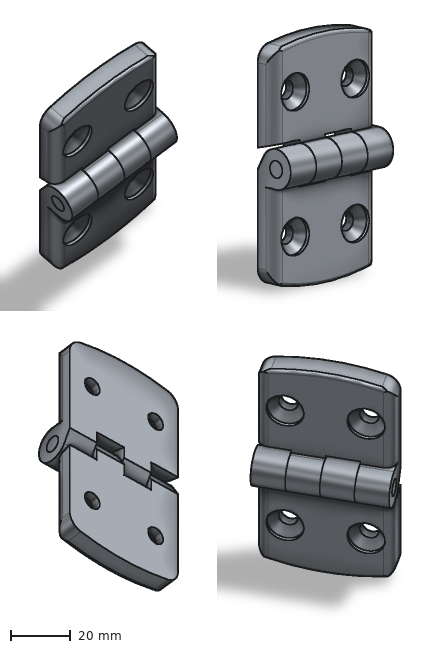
import cadquery as cq
import math

HEIGHT = 86.6
WIDTH = 48.0
DEPTH = 15.9

PLATE_THICKNESS = 7.9
END_ARC_RADIUS = 92.65
CORNER_RADIUS = 6.1
SIDE_ROUND = 4.0
END_ROUND = 1.2

BARREL_RADIUS = 7.0
BARREL_X = DEPTH - BARREL_RADIUS
KNUCKLE_COUNT = 4
KNUCKLE_WIDTH = WIDTH / KNUCKLE_COUNT
RAMP_ANGLE = 60.0
PIN_DIAMETER = 6.0

SLOT_EDGE_BACK_Z = 6.0
SLOT_EDGE_ANGLE = 15.0

HOLE_DIAMETER = 6.6
HEAD_DIAMETER = 13.0
HOLE_LENGTH = 3.4
SINK_ANGLE = 45.0
HOLE_Y = 14.0
HOLE_Z = 24.9


def make_plate():
    """Upper plate with a bowed top end, rounded corners and rounded long front edges."""
    half_width = WIDTH / 2
    half_height = HEIGHT / 2
    bow = END_ARC_RADIUS - math.sqrt(END_ARC_RADIUS**2 - half_width**2)
    outline = (
        cq.Workplane("YZ")
        .moveTo(-half_width, BARREL_RADIUS)
        .lineTo(half_width, BARREL_RADIUS)
        .lineTo(half_width, half_height - bow)
        .threePointArc((0, half_height), (-half_width, half_height - bow))
        .close()
        .extrude(PLATE_THICKNESS)
        .edges("|X")
        .edges(">Z")
        .fillet(CORNER_RADIUS)
    )
    rounded_end = (
        cq.Workplane("YZ", origin=(0, 0, half_height - END_ARC_RADIUS))
        .circle(END_ARC_RADIUS)
        .extrude(PLATE_THICKNESS)
        .edges(">X")
        .fillet(END_ROUND)
    )
    section = (
        cq.Workplane("XY")
        .rect(PLATE_THICKNESS, WIDTH)
        .extrude(HEIGHT)
        .translate((PLATE_THICKNESS / 2, 0, 0))
        .edges("|Z")
        .edges(">X")
        .fillet(SIDE_ROUND)
    )
    return outline.intersect(section).intersect(rounded_end)


def make_knuckle(start_y):
    """Barrel with a flat top and a ramp, tangent to the barrel, running to the back face."""
    ramp = math.radians(RAMP_ANGLE)
    tangent_x = BARREL_X - BARREL_RADIUS * math.sin(ramp)
    tangent_z = -BARREL_RADIUS * math.cos(ramp)
    ramp_end_z = tangent_z + tangent_x * math.tan(ramp)
    return (
        cq.Workplane("XZ", origin=(0, start_y, 0))
        .moveTo(0, BARREL_RADIUS)
        .lineTo(BARREL_X, BARREL_RADIUS)
        .threePointArc((DEPTH, 0), (tangent_x, tangent_z))
        .lineTo(0, ramp_end_z)
        .close()
        .extrude(-KNUCKLE_WIDTH)
    )


def make_slot(start_y):
    """Space for the other leaf's knuckle, with a sloping edge across the plate."""
    edge_rise = PLATE_THICKNESS * math.tan(math.radians(SLOT_EDGE_ANGLE))
    return (
        cq.Workplane("XZ", origin=(0, start_y, 0))
        .polyline([
            (0, 0),
            (0, SLOT_EDGE_BACK_Z),
            (PLATE_THICKNESS, SLOT_EDGE_BACK_Z + edge_rise),
            (PLATE_THICKNESS, 0),
        ])
        .close()
        .extrude(-KNUCKLE_WIDTH)
    )


def make_slot_filler(start_y):
    """Strip that carries the plate down from the knuckle top to the slot edge."""
    return (
        cq.Workplane("XY", origin=(0, start_y, 0))
        .box(PLATE_THICKNESS, KNUCKLE_WIDTH, BARREL_RADIUS, centered=False)
        .cut(make_slot(start_y))
    )


def make_pin(diameter):
    return (
        cq.Workplane("XZ", origin=(BARREL_X, -WIDTH / 2, 0))
        .circle(diameter / 2)
        .extrude(-WIDTH)
    )


def make_screw_hole(hole_y):
    """Round hole, then a conical seat, then a recess of the head diameter up to the +X face."""
    hole_radius = HOLE_DIAMETER / 2
    head_radius = HEAD_DIAMETER / 2
    seat_end_x = HOLE_LENGTH + (head_radius - hole_radius) / math.tan(math.radians(SINK_ANGLE))
    return (
        cq.Workplane("XY")
        .polyline([
            (0, 0),
            (0, hole_radius),
            (HOLE_LENGTH, hole_radius),
            (seat_end_x, head_radius),
            (PLATE_THICKNESS, head_radius),
            (PLATE_THICKNESS, 0),
        ])
        .close()
        .revolve(360, (0, 0, 0), (1, 0, 0))
        .translate((0, hole_y, HOLE_Z))
    )


def make_upper_leaf():
    """Plate with every other knuckle, starting with a slot at the -Y side."""
    leaf = make_plate()
    for index in range(KNUCKLE_COUNT):
        start_y = -WIDTH / 2 + index * KNUCKLE_WIDTH
        if index % 2 == 0:
            leaf = leaf.union(make_slot_filler(start_y)).cut(make_slot(start_y))
        else:
            leaf = leaf.union(make_knuckle(start_y))
    for hole_y in (-HOLE_Y, HOLE_Y):
        leaf = leaf.cut(make_screw_hole(hole_y))
    return leaf.cut(make_pin(PIN_DIAMETER))


upper_leaf = make_upper_leaf()

lower_leaf = make_upper_leaf().rotate((0, 0, 0), (1, 0, 0), 180)

pin = make_pin(PIN_DIAMETER)

result = cq.Compound.makeCompound([upper_leaf.val(), lower_leaf.val(), pin.val()])